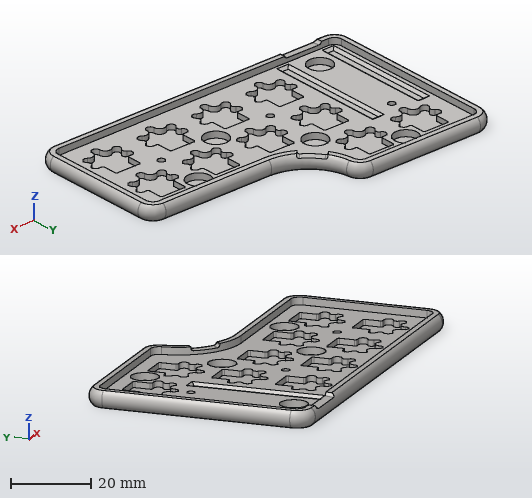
import cadquery as cq
import math

LENGTH = 99.3
WIDTH = 60.0
HEIGHT = 4.6
STEP_WIDTH = 43.0
CORNER_RADIUS = 5.0
SHOULDER_X = 40.5
SWEEP_RADIUS = 13.9

BULGE = 1.1
RIM_INSET = 2.7
RECESS_DEPTH = 2.0
FLOOR_Z = HEIGHT - RECESS_DEPTH

COLUMN_PITCH = 18.1
ROW_PITCH = 17.0
FIRST_COLUMN_X = 13.7
FIRST_ROW_Y = 19.4
STAR_CELLS = [(0, 2), (1, 2)] + [(column, row) for column in range(1, 5) for row in range(2)]
STAR_DEPTH = 1.6
STAR_HALF_WIDTH = 4.1
STAR_CORNER_RADIUS = 0.5
LOBE_RADIUS = 1.2
ARM_LOBE = (5.5, -6.2)
SIDE_LOBE = (4.9, -9.9)
TIP_LOBE = (0.0, -12.3)
SIDE_VALLEY_RADIUS = 1.0
TIP_VALLEY_RADIUS = 1.8

MAGNET_DIAMETER = 7.2
MAGNET_DEPTH = 2.0
MAGNET_CENTERS = [(22.7, 52.1), (40.7, 38.3), (58.8, 21.5), (76.9, 35.5), (13.2, 8.8)]
HOLE_DIAMETER = 2.1
HOLE_CENTERS = [(13.7, 36.4), (40.8, 21.5), (77.0, 21.5)]

SLOT_CENTERS_X = [5.9, 21.0]
SLOT_START_Y = 3.6
SLOT_WIDTH = 3.8
SLOT_LENGTH = 36.0
SLOT_DEPTH = 0.8
SLOT_WALL_RUN = 0.9

NOTCH_OVERRUN = 1.0

FRONT_NOTCH_START_X = 7.2
FRONT_NOTCH_LENGTH = 12.2
FRONT_NOTCH_DEPTH = 1.0
FRONT_NOTCH_RADIUS = 0.9
FRONT_NOTCH_SLOPE = 6.0

SWEEP_NOTCH_ANGLE = 225.0
SWEEP_NOTCH_LENGTH = 7.8
SWEEP_NOTCH_DEPTH = 1.0
SWEEP_NOTCH_RADIUS = 0.7


def polar(center, radius, degrees):
    angle = math.radians(degrees)
    return (center[0] + radius * math.cos(angle), center[1] + radius * math.sin(angle))


def direction(start, end):
    return math.degrees(math.atan2(end[1] - start[1], end[0] - start[0]))


shoulder_center = (SHOULDER_X, WIDTH - CORNER_RADIUS)
sweep_center_y = STEP_WIDTH + SWEEP_RADIUS
center_distance = SWEEP_RADIUS + CORNER_RADIUS
center_rise = sweep_center_y - shoulder_center[1]
sweep_center = (SHOULDER_X + math.sqrt(center_distance**2 - center_rise**2), sweep_center_y)


def case_outline(z):
    """Outer outline of the case, starting in the middle of the front side."""
    to_sweep = direction(shoulder_center, sweep_center)
    to_shoulder = to_sweep + 180
    r = CORNER_RADIUS
    right_front = (LENGTH - r, r)
    right_back = (LENGTH - r, STEP_WIDTH - r)
    left_back = (r, WIDTH - r)
    left_front = (r, r)

    def corner(path, center, start_angle):
        return path.lineTo(*polar(center, r, start_angle)).threePointArc(
            polar(center, r, start_angle + 45), polar(center, r, start_angle + 90)
        )

    path = cq.Workplane("XY", origin=(0, 0, z)).moveTo(LENGTH / 2, 0)
    path = corner(path, right_front, -90)
    path = corner(path, right_back, 0)
    path = path.lineTo(sweep_center[0], STEP_WIDTH)
    path = path.threePointArc(
        polar(sweep_center, SWEEP_RADIUS, (270 + to_shoulder) / 2),
        polar(sweep_center, SWEEP_RADIUS, to_shoulder),
    )
    path = path.threePointArc(
        polar(shoulder_center, r, (to_sweep + 90) / 2), polar(shoulder_center, r, 90)
    )
    path = corner(path, left_back, 90)
    path = corner(path, left_front, 180)
    return path.close()


def case_body():
    core = case_outline(0).offset2D(-BULGE).extrude(HEIGHT)
    edge_profile = (
        cq.Workplane("YZ", origin=(LENGTH / 2, 0, 0))
        .moveTo(RIM_INSET, 0)
        .lineTo(BULGE, 0)
        .threePointArc((0, HEIGHT / 2), (BULGE, HEIGHT))
        .lineTo(RIM_INSET, HEIGHT)
        .close()
    )
    body = core.union(edge_profile.sweep(case_outline(0)))
    return body.cut(case_outline(FLOOR_Z).offset2D(-RIM_INSET).extrude(RECESS_DEPTH))


def valley_center(lobe, next_lobe, radius):
    """Center of the hollow of the given radius that touches two neighbouring lobes."""
    half_gap = math.dist(lobe, next_lobe) / 2
    reach = math.sqrt((LOBE_RADIUS + radius) ** 2 - half_gap**2)
    middle = ((lobe[0] + next_lobe[0]) / 2, (lobe[1] + next_lobe[1]) / 2)
    return polar(middle, reach, direction(lobe, next_lobe) + 90)


def star_half():
    """Right half of a star pocket from its top edge down to its tip."""
    side_valley = valley_center(ARM_LOBE, SIDE_LOBE, SIDE_VALLEY_RADIUS)
    tip_valley = valley_center(SIDE_LOBE, TIP_LOBE, TIP_VALLEY_RADIUS)
    half, r = STAR_HALF_WIDTH, STAR_CORNER_RADIUS
    arm_top = ARM_LOBE[1] + LOBE_RADIUS

    def arc(path, center, radius, start_angle, end_angle, turn):
        sweep = turn * ((turn * (end_angle - start_angle)) % 360)
        return path.threePointArc(
            polar(center, radius, start_angle + sweep / 2), polar(center, radius, end_angle)
        )

    path = cq.Workplane("XY").lineTo(half - r, 0)
    path = arc(path, (half - r, -r), r, 90, 0, -1)
    path = path.lineTo(half, arm_top + r)
    path = arc(path, (half + r, arm_top + r), r, 180, 270, 1)
    path = path.lineTo(ARM_LOBE[0], arm_top)
    arm_to_valley = direction(ARM_LOBE, side_valley)
    path = arc(path, ARM_LOBE, LOBE_RADIUS, 90, arm_to_valley, -1)
    valley_to_side = direction(side_valley, SIDE_LOBE)
    path = arc(path, side_valley, SIDE_VALLEY_RADIUS, arm_to_valley + 180, valley_to_side, 1)
    side_to_valley = direction(SIDE_LOBE, tip_valley)
    path = arc(path, SIDE_LOBE, LOBE_RADIUS, valley_to_side + 180, side_to_valley, -1)
    valley_to_tip = direction(tip_valley, TIP_LOBE)
    path = arc(path, tip_valley, TIP_VALLEY_RADIUS, side_to_valley + 180, valley_to_tip, 1)
    path = arc(path, TIP_LOBE, LOBE_RADIUS, valley_to_tip + 180, -90, -1)
    return path.close()


def star_pockets():
    half = star_half().extrude(STAR_DEPTH)
    star = half.union(half.mirror("YZ"))
    pockets = cq.Workplane("XY")
    for column, row in STAR_CELLS:
        x = FIRST_COLUMN_X + column * COLUMN_PITCH
        y = FIRST_ROW_Y + row * ROW_PITCH
        pockets = pockets.add(star.translate((x, y, FLOOR_Z - STAR_DEPTH)))
    return pockets.combine()


def round_cuts(centers, diameter, depth):
    plane = cq.Workplane("XY", origin=(0, 0, FLOOR_Z - depth))
    return plane.pushPoints(centers).circle(diameter / 2).extrude(depth)


def sloped_slot(center_x):
    slope = math.degrees(math.atan(SLOT_WALL_RUN / SLOT_DEPTH))
    return (
        cq.Workplane("XY", origin=(center_x, SLOT_START_Y + SLOT_LENGTH / 2, FLOOR_Z))
        .rect(SLOT_WIDTH, SLOT_LENGTH)
        .extrude(-SLOT_DEPTH, taper=slope)
    )


def front_notch():
    """Notch with rounded bottom corners and a floor that falls gently towards the outside."""
    block = cq.Workplane("XY", origin=(FRONT_NOTCH_START_X, 0, 0)).box(
        FRONT_NOTCH_LENGTH, RIM_INSET + NOTCH_OVERRUN, HEIGHT, centered=False
    )
    block = block.edges("|Y and <Z").fillet(FRONT_NOTCH_RADIUS)
    block = block.rotate((0, 0, 0), (1, 0, 0), FRONT_NOTCH_SLOPE)
    return block.translate((0, 0, HEIGHT - FRONT_NOTCH_DEPTH))


def sweep_notch():
    """Straight diagonal notch across the rim, rounded along the bottom of each end."""
    block = cq.Workplane("XY").box(
        RIM_INSET + NOTCH_OVERRUN, SWEEP_NOTCH_LENGTH, SWEEP_NOTCH_DEPTH, centered=(False, True, False)
    )
    block = block.edges("|X and <Z").fillet(SWEEP_NOTCH_RADIUS)
    block = block.translate((SWEEP_RADIUS - NOTCH_OVERRUN, 0, HEIGHT - SWEEP_NOTCH_DEPTH))
    return block.rotate((0, 0, 0), (0, 0, 1), SWEEP_NOTCH_ANGLE).translate((*sweep_center, 0))


result = case_body()
result = result.cut(star_pockets())
result = result.cut(round_cuts(MAGNET_CENTERS, MAGNET_DIAMETER, MAGNET_DEPTH))
result = result.cut(round_cuts(HOLE_CENTERS, HOLE_DIAMETER, FLOOR_Z))
for slot_x in SLOT_CENTERS_X:
    result = result.cut(sloped_slot(slot_x))
result = result.cut(front_notch())
result = result.cut(sweep_notch())